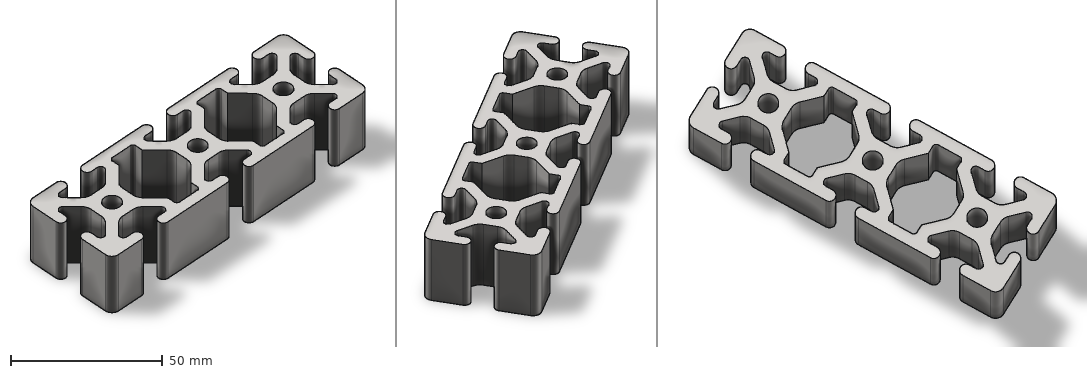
import cadquery as cq

total_length = 120.0
cell_count = 3
cell = total_length / cell_count
height = 25.0
corner_radius = 3.1

bore_diameter = 6.8
core_half = 7.5
wall_thickness = 4.3
slot_opening = 8.0
web_offset = 3.1
core_fillet = 4.5
slot_end_fillet = 1.5

cavity_side_height = 10.8
cavity_corner_fillet = 1.2

inner_half = cell / 2 - wall_thickness
cell_centers = [(i - (cell_count - 1) / 2) * cell for i in range(cell_count)]
cavity_centers = [(a + b) / 2 for a, b in zip(cell_centers, cell_centers[1:])]


def make_slot():
    """T-slot opening toward +Y, in a cell centred on the origin."""
    core_corner = core_half - web_offset
    undercut_corner = inner_half - web_offset
    pocket = (
        cq.Workplane("XY")
        .polyline([
            (-core_corner, core_half),
            (core_corner, core_half),
            (undercut_corner, inner_half),
            (-undercut_corner, inner_half),
        ])
        .close()
        .extrude(height)
        .edges("|Z and <Y").fillet(core_fillet)
        .edges("|Z and >Y").fillet(slot_end_fillet)
    )

    lip_radius = wall_thickness / 2
    tip = slot_opening / 2
    tangent = tip + lip_radius
    outer = cell / 2
    middle = outer - lip_radius
    mouth = (
        cq.Workplane("XY")
        .moveTo(-tangent, inner_half)
        .threePointArc((-tip, middle), (-tangent, outer))
        .lineTo(tangent, outer)
        .threePointArc((tip, middle), (tangent, inner_half))
        .close()
        .extrude(height)
    )
    return pocket.union(mouth)


def make_cavity():
    """Closed cavity between two cells, centred on the origin."""
    half_height = cell / 2 - core_half
    side_half = cavity_side_height / 2
    core_corner = core_half - web_offset
    web_corner = core_corner + half_height - side_half
    upper = [
        (inner_half, side_half),
        (web_corner, side_half),
        (core_corner, half_height),
        (-core_corner, half_height),
        (-web_corner, side_half),
        (-inner_half, side_half),
    ]
    lower = [(-x, -y) for x, y in upper]
    return (
        cq.Workplane("XY")
        .polyline(upper + lower)
        .close()
        .extrude(height)
        .edges("|Z and (<Y or >Y)").fillet(core_fillet)
        .edges("|Z and (<X or >X)").fillet(cavity_corner_fillet)
    )


profile = (
    cq.Workplane("XY")
    .rect(cell, total_length)
    .extrude(height)
    .edges("|Z").fillet(corner_radius)
)

slot = make_slot()
slot_places = [(y, angle) for y in cell_centers for angle in (90, -90)]
slot_places += [(cell_centers[-1], 0), (cell_centers[0], 180)]
for y, angle in slot_places:
    profile = profile.cut(slot.rotate((0, 0, 0), (0, 0, 1), angle).translate((0, y, 0)))

cavity = make_cavity()
for y in cavity_centers:
    profile = profile.cut(cavity.translate((0, y, 0)))

bores = (
    cq.Workplane("XY")
    .pushPoints([(0, y) for y in cell_centers])
    .circle(bore_diameter / 2)
    .extrude(height)
)

result = profile.cut(bores)